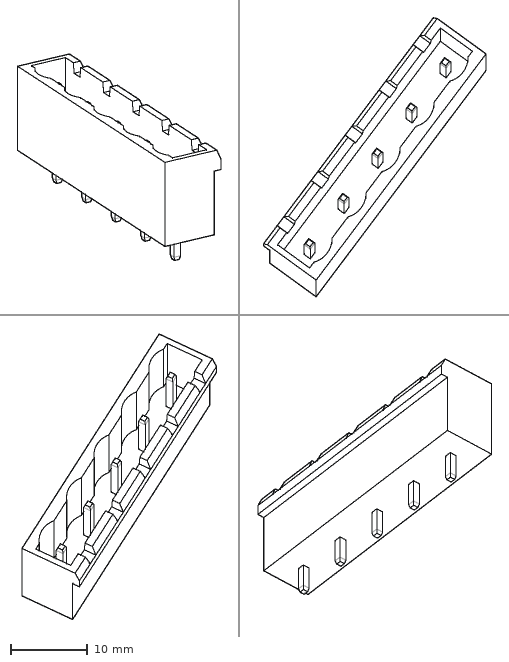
import cadquery as cq


PIN_COUNT = 5
PITCH = 7.5

LENGTH = PIN_COUNT * PITCH
DEPTH = 8.6
HEIGHT = 12.0
LIP_OVERHANG = 1.0
LIP_HEIGHT = 2.92
LIP_CHAMFER_DEPTH = 0.65
LIP_CHAMFER_HEIGHT = 1.42

END_WALL = 0.8
FRONT_WALL = 1.65
BACK_WALL = 0.7
FLOOR = 2.5
SCALLOP_WIDTH = 3.98
SCALLOP_DEPTH = 0.68

NOTCH_TOP_WIDTH = 1.88
NOTCH_BOTTOM_WIDTH = 1.5
NOTCH_DEPTH = 1.42

PIN_WIDTH = 1.0
PIN_TIP_WIDTH = 0.7
PIN_TIP_LENGTH = 0.55
PIN_Y = 3.85
PIN_TAIL = 4.0
PIN_TOP = 10.0

back_face = DEPTH - LIP_OVERHANG
cavity_back = back_face - BACK_WALL
pin_positions = [(i - (PIN_COUNT - 1) / 2) * PITCH for i in range(PIN_COUNT)]


def housing_block():
    """Solid housing: its side profile, with the chamfered lip, swept along X."""
    return (
        cq.Workplane("YZ")
        .moveTo(0, 0)
        .lineTo(back_face, 0)
        .lineTo(back_face, HEIGHT - LIP_HEIGHT)
        .lineTo(DEPTH, HEIGHT - LIP_HEIGHT)
        .lineTo(DEPTH, HEIGHT - LIP_CHAMFER_HEIGHT)
        .lineTo(DEPTH - LIP_CHAMFER_DEPTH, HEIGHT)
        .lineTo(0, HEIGHT)
        .close()
        .extrude(LENGTH / 2, both=True)
    )


def cavity():
    """Rectangular pocket with a shallow arc scooped into the front wall at each pin."""
    half_length = LENGTH / 2 - END_WALL
    outline = cq.Workplane("XY").workplane(offset=FLOOR).moveTo(-half_length, FRONT_WALL)
    for x in pin_positions:
        outline = outline.lineTo(x - SCALLOP_WIDTH / 2, FRONT_WALL).threePointArc(
            (x, FRONT_WALL - SCALLOP_DEPTH),
            (x + SCALLOP_WIDTH / 2, FRONT_WALL),
        )
    return (
        outline.lineTo(half_length, FRONT_WALL)
        .lineTo(half_length, cavity_back)
        .lineTo(-half_length, cavity_back)
        .close()
        .extrude(HEIGHT - FLOOR)
    )


def notch(x):
    """Tapered notch cut from the cavity out through the back wall and lip."""
    return (
        cq.Workplane("XZ", origin=(x, DEPTH, HEIGHT))
        .moveTo(-NOTCH_TOP_WIDTH / 2, 0)
        .lineTo(NOTCH_TOP_WIDTH / 2, 0)
        .lineTo(NOTCH_BOTTOM_WIDTH / 2, -NOTCH_DEPTH)
        .lineTo(-NOTCH_BOTTOM_WIDTH / 2, -NOTCH_DEPTH)
        .close()
        .extrude(DEPTH - cavity_back)
    )


def pin(x):
    """Square pin with a tapered tip at each end."""
    shank_bottom = PIN_TIP_LENGTH - PIN_TAIL
    shank_top = PIN_TOP - PIN_TIP_LENGTH
    shank = (
        cq.Workplane("XY", origin=(x, PIN_Y, shank_bottom))
        .rect(PIN_WIDTH, PIN_WIDTH)
        .extrude(shank_top - shank_bottom)
    )
    for z, direction in ((shank_bottom, -1), (shank_top, 1)):
        tip = (
            cq.Workplane("XY", origin=(x, PIN_Y, z))
            .rect(PIN_WIDTH, PIN_WIDTH)
            .workplane(offset=direction * PIN_TIP_LENGTH)
            .rect(PIN_TIP_WIDTH, PIN_TIP_WIDTH)
            .loft()
        )
        shank = shank.union(tip)
    return shank


result = housing_block().cut(cavity())
for pin_x in pin_positions:
    result = result.cut(notch(pin_x)).union(pin(pin_x))